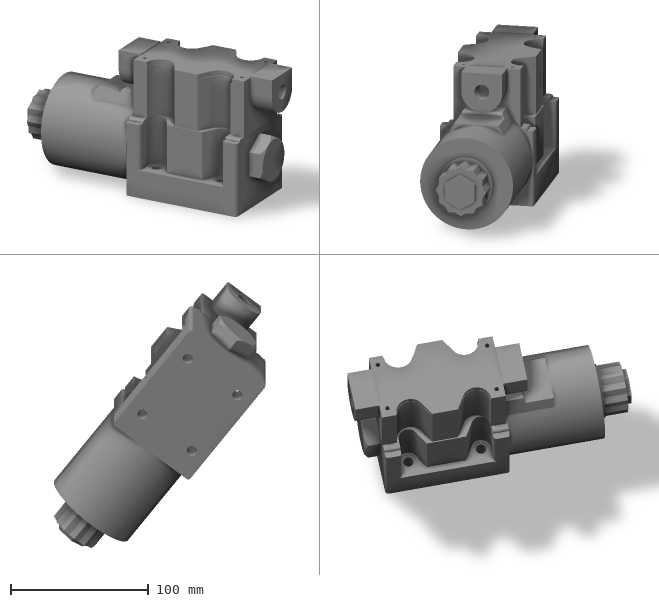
import cadquery as cq
import math


base_length = 92.3
base_width = 70.0
base_height = 58.8
shoulder_height = 56.7
shoulder_half_width = 30.2
shoulder_round = 1.9
boss_half_width = 29.8
small_corner_radius = 1.9
large_corner_radius = 2.5

base_center_x = base_length / 2
bolt_half_spacing_x = 27.0
bolt_half_spacing_y = 22.8
pocket_floor_z = 21.5
base_pocket_radius = 7.2
base_flat_half_length = 14.5
base_flat_corner_radius = 1.0
bolt_hole_radius = 3.7
spot_face_radius = 5.8
spot_face_depth = 0.6

block_start_x = 1.2
block_length = 91.7
block_top_z = 102.5
block_end_half_width = 24.9
block_middle_half_width = 29.0
block_flat_half_length = 9.5
block_center_x = block_start_x + block_length / 2
block_pocket_radius = 10.3
block_pocket_offset_x = 24.5
block_pocket_offset_y = 24.3
lip_height = 3.7
lip_step = 0.2
wide_lip_step = 1.0
pin_hole_radius = 1.6
pin_hole_depth = 6.2
pin_hole_offset_x = 40.5
pin_hole_offset_y = 18.0

lug_length = 17.9
lug_radius = 15.2
lug_top_z = 103.5
lug_axis_z = 89.2
lug_hole_radius = 5.5

axis_z = 35.2
coil_radius = 34.5
coil_length = 70.5
flange_radius = 20.0
flange_length = 3.0
knob_corner_radius = 18.7
knob_length = 17.5
knob_hex_corner_radius = 12.7
knob_hex_length = 3.7
nut_corner_radius = 18.7
nut_end_x = 103.8
nut_bevel_length = 2.3
nut_bevel_height = 2.7

pad_length = 36.0
pad_bottom_z = 62.5
pad_bottom_half_width = 20.8
pad_plate_z = 70.0
pad_top_z = 73.8
pad_top_half_width = 14.5
pad_step_x = -14.8
pad_foot_radius = 0.8
pad_brow_radius = 2.3

contact_radius = 1.9
contact_z = 67.2


def mirrored_points(half_points):
    """Complete a symmetric YZ outline from its +Y half, listed bottom to top."""
    return half_points + [(-y, z) for y, z in reversed(half_points)]


def along_x(start_x):
    """Workplane facing +X whose local axes are Y and Z."""
    return cq.Workplane("YZ", origin=(start_x, 0, 0))


def cylinder_x(radius, start_x, length, z):
    return along_x(start_x).center(0, z).circle(radius).extrude(length)


def hexagon_x(corner_radius, start_x, length, turn=0):
    """Hexagonal prism on the coil axis with corners at top and bottom before turning."""
    angles = [math.radians(90 + turn + 60 * i) for i in range(6)]
    corners = [
        (corner_radius * math.cos(a), axis_z + corner_radius * math.sin(a))
        for a in angles
    ]
    return along_x(start_x).polyline(corners).close().extrude(length)


def corner_pocket(side_x, side_y, mid_x, bore, radius, flat_corner, bottom_z, top_z):
    """Bolt pocket open to one long side of the part.

    It has a straight wall tangent to a round bore, and a slanted wall running
    from the bore, again tangent, to the corner of the middle flat.
    `bore` and `flat_corner` are distances from the middle of the part.
    """
    bore_x, bore_y = bore
    flat_x, flat_y = flat_corner
    dx = flat_x - bore_x
    dy = flat_y - bore_y
    toward_corner = math.atan2(dy, dx)
    tangent_angle = toward_corner + math.acos(radius / math.hypot(dx, dy))
    tangent = (
        bore_x + radius * math.cos(tangent_angle),
        bore_y + radius * math.sin(tangent_angle),
    )
    middle_angle = (2 * math.pi + tangent_angle) / 2
    arc_middle = (
        bore_x + radius * math.cos(middle_angle),
        bore_y + radius * math.sin(middle_angle),
    )
    wall_x = bore_x + radius
    outer_y = base_width

    def place(point):
        return (mid_x + side_x * point[0], side_y * point[1])

    return (
        cq.Workplane("XY", origin=(0, 0, bottom_z))
        .moveTo(*place((wall_x, outer_y)))
        .lineTo(*place((wall_x, bore_y)))
        .threePointArc(place(arc_middle), place(tangent))
        .lineTo(*place(flat_corner))
        .lineTo(*place((flat_x, outer_y)))
        .close()
        .extrude(top_z - bottom_z)
    )


def base_edges_at(x, half_width):
    """Selector for the base edges parallel to Z at the given X, on both sides of the part."""
    tolerance = 0.02
    boxes = [
        cq.selectors.BoxSelector(
            (x - tolerance, y - tolerance, 0),
            (x + tolerance, y + tolerance, base_height),
        )
        for y in (-half_width, half_width)
    ]
    return boxes[0] + boxes[1]


def make_base():
    half_width = base_width / 2
    outline = mirrored_points([
        (half_width, 0),
        (half_width, shoulder_height),
        (shoulder_half_width, shoulder_height),
        (shoulder_half_width, base_height),
    ])
    base = along_x(0).polyline(outline).close().extrude(base_length)
    base = base.faces(">Z").edges("|X").fillet(shoulder_round)
    for x, radius in ((0, small_corner_radius), (base_length, large_corner_radius)):
        base = base.edges(base_edges_at(x, half_width)).fillet(radius)

    wall_offset = bolt_half_spacing_x + base_pocket_radius
    middle = cq.Workplane("XY", origin=(base_center_x, 0, pocket_floor_z))
    boss_height = base_height - pocket_floor_z
    base = base.cut(middle.rect(2 * wall_offset, base_width).extrude(boss_height))
    base = base.union(middle.rect(2 * wall_offset, 2 * boss_half_width).extrude(boss_height))
    flat_corner = (base_flat_half_length, boss_half_width)
    for side_x in (-1, 1):
        for side_y in (-1, 1):
            base = base.cut(corner_pocket(
                side_x, side_y, base_center_x,
                (bolt_half_spacing_x, bolt_half_spacing_y),
                base_pocket_radius, flat_corner, pocket_floor_z, base_height,
            ))

    for x, radius in (
        (base_center_x - wall_offset, large_corner_radius),
        (base_center_x + wall_offset, small_corner_radius),
    ):
        base = base.edges(base_edges_at(x, half_width)).fillet(radius)
    boss_corner_x = base_center_x - base_flat_half_length
    return base.edges(
        base_edges_at(boss_corner_x, boss_half_width)
    ).fillet(base_flat_corner_radius)


def bolt_cylinders(radius, bottom_z):
    """One cylinder at each bolt position, reaching up to the pocket floors."""
    return (
        cq.Workplane("XY", origin=(base_center_x, 0, bottom_z))
        .rect(2 * bolt_half_spacing_x, 2 * bolt_half_spacing_y, forConstruction=True)
        .vertices()
        .circle(radius)
        .extrude(pocket_floor_z - bottom_z)
    )


def make_block():
    height = block_top_z - base_height
    wall_offset = block_pocket_offset_x + block_pocket_radius
    floor = cq.Workplane("XY", origin=(block_center_x, 0, base_height))
    block = floor.rect(block_length, 2 * block_end_half_width).extrude(height)
    block = block.union(
        floor.rect(2 * wall_offset, 2 * block_middle_half_width).extrude(height)
    )
    flat_corner = (block_flat_half_length, block_middle_half_width)
    bore = (block_pocket_offset_x, block_pocket_offset_y)
    for side_x in (-1, 1):
        for side_y in (-1, 1):
            is_front_nut_side = side_x > 0 and side_y < 0
            step = wide_lip_step if is_front_nut_side else lip_step
            for radius, bottom_z in (
                (block_pocket_radius, base_height),
                (block_pocket_radius + step, block_top_z - lip_height),
            ):
                block = block.cut(corner_pocket(
                    side_x, side_y, block_center_x, bore,
                    radius, flat_corner, bottom_z, block_top_z,
                ))
    return (
        block.faces(">Z").workplane(origin=(block_center_x, 0, block_top_z))
        .rect(2 * pin_hole_offset_x, 2 * pin_hole_offset_y, forConstruction=True)
        .vertices()
        .circle(pin_hole_radius)
        .cutBlind(-pin_hole_depth)
    )


def make_lug(start_x):
    """Round-bottomed lug whose port runs through to the end face of the block."""
    lug = (
        along_x(start_x)
        .moveTo(lug_radius, lug_top_z)
        .lineTo(lug_radius, lug_axis_z)
        .threePointArc((0, lug_axis_z - lug_radius), (-lug_radius, lug_axis_z))
        .lineTo(-lug_radius, lug_top_z)
        .close()
        .extrude(lug_length)
    )
    return lug.cut(cylinder_x(lug_hole_radius, start_x, lug_length, lug_axis_z))


def make_coil():
    flange_x = -coil_length - flange_length
    knob_x = flange_x - knob_length
    coil = cylinder_x(coil_radius, -coil_length, coil_length, axis_z)
    coil = coil.union(cylinder_x(flange_radius, flange_x, flange_length, axis_z))
    for turn in (0, 30):
        coil = coil.union(hexagon_x(knob_corner_radius, knob_x, knob_length, turn))
    return coil.union(
        hexagon_x(knob_hex_corner_radius, knob_x - knob_hex_length, knob_hex_length)
    )


def make_pad():
    outline = mirrored_points([
        (pad_bottom_half_width, axis_z),
        (pad_bottom_half_width, pad_bottom_z),
        (pad_top_half_width, pad_top_z),
    ])
    pad = along_x(-pad_length).polyline(outline).close().extrude(pad_length)
    foot_z = pad_plate_z + pad_foot_radius
    brow_z = pad_top_z - pad_brow_radius
    arc_bulge = 1 - math.cos(math.radians(45))
    foot_middle = (
        pad_step_x - pad_foot_radius * arc_bulge,
        pad_plate_z + pad_foot_radius * arc_bulge,
    )
    brow_middle = (
        pad_step_x + pad_brow_radius * arc_bulge,
        pad_top_z - pad_brow_radius * arc_bulge,
    )
    clearance = (
        cq.Workplane("XZ")
        .moveTo(-pad_length, pad_plate_z)
        .lineTo(pad_step_x - pad_foot_radius, pad_plate_z)
        .threePointArc(foot_middle, (pad_step_x, foot_z))
        .lineTo(pad_step_x, brow_z)
        .threePointArc(brow_middle, (pad_step_x + pad_brow_radius, pad_top_z))
        .lineTo(-pad_length, pad_top_z)
        .close()
        .extrude(coil_radius, both=True)
    )
    return pad.cut(clearance)


def make_nut():
    length = nut_end_x - base_length
    nut = hexagon_x(nut_corner_radius, base_length, length)
    bevel = (
        cq.Workplane("XY", origin=(0, 0, axis_z))
        .moveTo(base_length, 0)
        .lineTo(base_length, nut_corner_radius)
        .lineTo(nut_end_x - nut_bevel_length, nut_corner_radius)
        .lineTo(nut_end_x, nut_corner_radius - nut_bevel_height)
        .lineTo(nut_end_x, 0)
        .close()
        .revolve(360, (0, 0, 0), (1, 0, 0))
    )
    return nut.intersect(bevel)


block_end_x = block_start_x + block_length

result = make_base().union(make_block())
result = result.cut(bolt_cylinders(bolt_hole_radius, 0))
result = result.cut(bolt_cylinders(spot_face_radius, pocket_floor_z - spot_face_depth))
result = result.union(make_lug(block_start_x - lug_length))
result = result.union(make_lug(block_end_x))
result = result.union(make_coil())
result = result.union(make_pad())
result = result.union(cylinder_x(contact_radius, 0, block_start_x, contact_z))
result = result.union(make_nut())